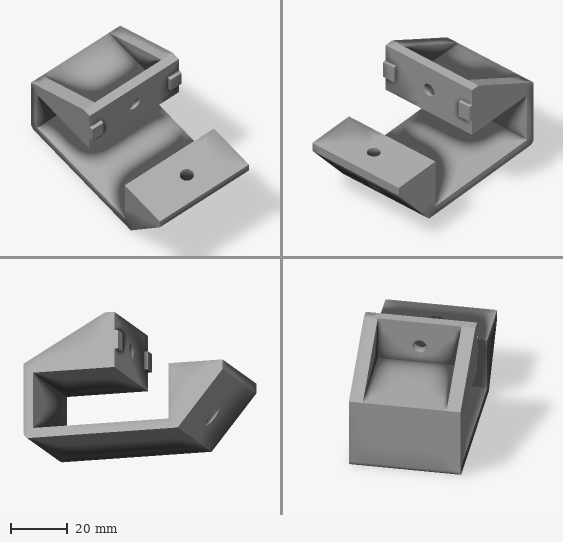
import cadquery as cq

length = 73.5
width = 40.0
height = 43.5
wall = 3.5
block_length = 20.0
cavity_height = 20.0
corner_radius = 2.0
hole_diameter = 5.0

nose_start_x = 56.95
nose_tip_z = 20.0

plate_right_x = 33.5
rib_thickness = 5.0
tab_projection = 1.5
tab_bottom_z = 30.2
tab_height = 6.6

block_left_x = length - block_length
block_top_z = wall + cavity_height
shelf_top_z = block_top_z + wall
plate_left_x = plate_right_x - wall
block_hole_x = length - block_length / 2
plate_hole_z = (block_top_z + height) / 2
side_rib_centers = [side * (width - rib_thickness) / 2 for side in (-1, 1)]


def extrude_profile(points, thickness, center_y=0.0):
    """Extrude an XZ outline along Y, centred on center_y."""
    profile = cq.Workplane("XZ", origin=(0, center_y, 0)).polyline(points).close()
    return profile.extrude(thickness / 2, both=True)


def make_channel():
    """C-shaped body: base, left wall, shelf and end block with a sloping nose."""
    outline = [
        (0, 0),
        (nose_start_x, 0),
        (length, nose_tip_z),
        (length, block_top_z),
        (block_left_x, block_top_z),
        (block_left_x, wall),
        (wall, wall),
        (wall, block_top_z),
        (plate_right_x, block_top_z),
        (plate_right_x, shelf_top_z),
        (0, shelf_top_z),
    ]
    channel = extrude_profile(outline, width)
    return channel.edges("|Y and <X and <Z").fillet(corner_radius)


def make_plate():
    """Upright plate across the full width at the end of the shelf."""
    outline = [
        (plate_left_x, block_top_z),
        (plate_right_x, block_top_z),
        (plate_right_x, height),
        (plate_left_x, height),
    ]
    return extrude_profile(outline, width)


def make_rib(center_y):
    """Triangular rib bracing the plate to the shelf."""
    outline = [(0, shelf_top_z), (plate_left_x, shelf_top_z), (plate_left_x, height)]
    return extrude_profile(outline, rib_thickness, center_y)


def make_tab(center_y):
    """Small locating tab on the plate's inner face."""
    tab = cq.Workplane("XY").box(tab_projection, rib_thickness, tab_height, centered=(False, True, False))
    return tab.translate((plate_right_x, center_y, tab_bottom_z))


body = make_channel().union(make_plate())
for rib_center_y in side_rib_centers:
    body = body.union(make_rib(rib_center_y)).union(make_tab(rib_center_y))

block_hole = cq.Workplane("XY").center(block_hole_x, 0).circle(hole_diameter / 2).extrude(height)
plate_hole = cq.Workplane("YZ").center(0, plate_hole_z).circle(hole_diameter / 2).extrude(length)

result = body.cut(block_hole).cut(plate_hole)